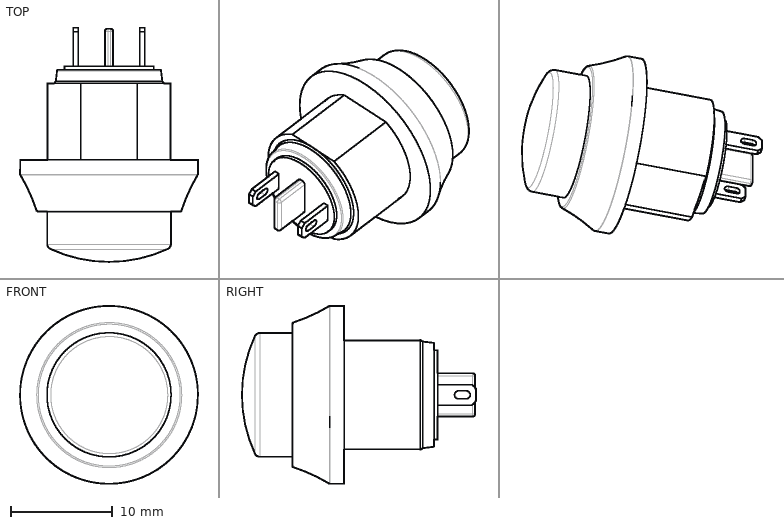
import cadquery as cq
import math

dome_edge_y = 1.27
button_round_y = 1.75
bezel_front_y = 4.95
flange_front_y = 8.62
flange_back_y = 10.05
barrel_back_y = 17.55
cap_flare_y = 17.79
cap_back_y = 18.92
plate_back_y = 19.25
pin_tip_y = 22.95
blade_tip_y = 23.05

button_radius = 12.2 / 2
dome_edge_radius = 5.75
bezel_front_radius = 7.1
bezel_hollow = 0.12
bezel_edge_round = 0.15
flange_radius = 17.5 / 2
flange_edge_round = 0.07
barrel_radius = 12.1 / 2
flat_distance = 5.37
cap_base_radius = 5.41
cap_flare_radius = 5.25
cap_back_radius = 5.11
cap_edge_round = 0.12
plate_radius = 8.8 / 2

blade_offset = 3.27
blade_thickness = 0.53
blade_height = 2.03
blade_chamfer = 0.41
slot_length = 1.55
slot_width = 0.78
slot_center_y = 21.68
pin_thickness = 0.83
pin_height = 4.29
pin_round = 0.28
embed = 0.23


def turned(profile):
    """Revolve a closed half profile, drawn in XY, about the Y axis."""
    return profile.close().revolve(360, (0, 0, 0), (0, 1, 0))


def make_button():
    dome_radius = (dome_edge_radius**2 + dome_edge_y**2) / (2 * dome_edge_y)
    half_angle = math.asin(dome_edge_radius / dome_radius) / 2
    dome_middle = (dome_radius * math.sin(half_angle), dome_radius * (1 - math.cos(half_angle)))
    return turned(
        cq.Workplane("XY")
        .threePointArc(dome_middle, (dome_edge_radius, dome_edge_y))
        .tangentArcPoint((button_radius, button_round_y), relative=False)
        .lineTo(button_radius, flange_front_y)
        .lineTo(0, flange_front_y)
    )


def make_bezel():
    drop = flange_radius - bezel_front_radius
    depth = flange_front_y - bezel_front_y
    slant = math.hypot(drop, depth)
    hollow_middle = (
        (bezel_front_radius + flange_radius) / 2 - bezel_hollow * depth / slant,
        (bezel_front_y + flange_front_y) / 2 + bezel_hollow * drop / slant,
    )
    bezel = turned(
        cq.Workplane("XY")
        .moveTo(0, bezel_front_y)
        .lineTo(bezel_front_radius, bezel_front_y)
        .threePointArc(hollow_middle, (flange_radius, flange_front_y))
        .lineTo(flange_radius, flange_back_y)
        .lineTo(0, flange_back_y)
    )
    bezel = bezel.faces("<Y").edges().fillet(bezel_edge_round)
    rim = cq.selectors.BoxSelector(
        (-flange_radius - 0.23, flange_front_y - 0.02, -flange_radius - 0.23),
        (flange_radius + 0.23, flange_front_y + 0.02, flange_radius + 0.23),
        boundingbox=True,
    )
    return bezel.edges(rim).fillet(flange_edge_round)


def make_barrel():
    length = barrel_back_y - flange_back_y
    barrel = cq.Workplane("XZ", origin=(0, flange_back_y, 0)).circle(barrel_radius).extrude(-length)
    flats = cq.Workplane("XY").box(2 * barrel_radius, length, 2 * flat_distance)
    return barrel.intersect(flats.translate((0, flange_back_y + length / 2, 0)))


def make_cap():
    cap = turned(
        cq.Workplane("XY")
        .moveTo(0, barrel_back_y)
        .lineTo(cap_base_radius, barrel_back_y)
        .lineTo(cap_flare_radius, cap_flare_y)
        .lineTo(cap_back_radius, cap_back_y)
        .lineTo(0, cap_back_y)
    )
    cap = cap.faces(">Y").edges().fillet(cap_edge_round)
    plate = cq.Workplane("XZ", origin=(0, cap_back_y, 0)).circle(plate_radius)
    return cap.union(plate.extrude(cap_back_y - plate_back_y))


def terminal_block(thickness, height, tip_y):
    length = tip_y - plate_back_y + embed
    return cq.Workplane("XY").box(thickness, length, height).translate((0, tip_y - length / 2, 0))


def make_blade(x):
    blade = terminal_block(blade_thickness, blade_height, blade_tip_y)
    blade = blade.faces(">Y").edges("|X").chamfer(blade_chamfer)
    slot = (
        cq.Workplane("YZ")
        .center(slot_center_y, 0)
        .slot2D(slot_length, slot_width)
        .extrude(blade_thickness, both=True)
    )
    return blade.cut(slot).translate((x, 0, 0))


def make_center_pin():
    pin = terminal_block(pin_thickness, pin_height, pin_tip_y)
    return pin.edges("|Y").fillet(pin_round).faces(">Y").edges().fillet(pin_round)


result = make_button().union(make_bezel()).union(make_barrel()).union(make_cap())
for blade_x in (-blade_offset, blade_offset):
    result = result.union(make_blade(blade_x))
result = result.union(make_center_pin())